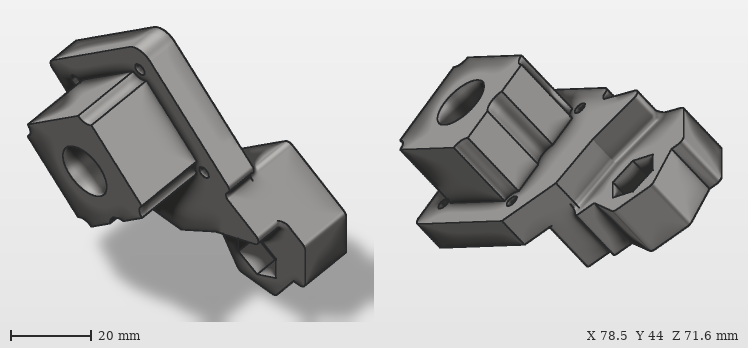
import cadquery as cq
import math

PLATE_THICKNESS = 8.95
BOSS_LENGTH = 20.0
BLOCK_THICKNESS = 15.0
BLOCK_BACK = PLATE_THICKNESS + BLOCK_THICKNESS
TOTAL_WIDTH = 78.5

PLATE_HALF_DIAGONAL = 31.3
PLATE_BOTTOM = -28.2
TOP_RADIUS = 5.0
CORNER_RADIUS = 2.0
JUNCTION_RADIUS = 1.7
BORE_DIAMETER = 15.0
SCREW_DIAMETER = 3.3
SCREW_DISTANCE = 21.9

BOSS_SIDE = 30.8
SCREW_GROOVE_RADIUS = 3.3
SIDE_GROOVE_RADIUS = 4.4
SIDE_GROOVE_OFFSET = 12.95

NUT_X = 31.65
NUT_Z = -31.6
ROD_DIAMETER = 7.4
NUT_ACROSS_FLATS = 12.8
NUT_DEPTH = 6.5
BLOCK_APOTHEM = 10.75
BLOCK_HALF_CORNER = BLOCK_APOTHEM / math.cos(math.radians(30))
BLOCK_BOTTOM = NUT_Z - BLOCK_APOTHEM
BLOCK_RIGHT = TOTAL_WIDTH - PLATE_HALF_DIAGONAL + CORNER_RADIUS * (math.sqrt(2) - 1)
WING_LEFT = 13.1
SMALL_RADIUS = 1.0

SLOPE_ANGLE = 32.3
SLOPE = math.tan(math.radians(SLOPE_ANGLE))
JUNCTION_X = 28.35
JUNCTION = (JUNCTION_X, JUNCTION_X - PLATE_HALF_DIAGONAL)

ARM_START = (14.2, PLATE_BOTTOM)
ARM_BEND = (26.0, -19.5)
ARM_TIP_X = 42.6
BLEND_RADIUS = 2.0
CUT_MARGIN = 15.7


def slope_z(x):
    """Height of the sloping upper edge at a given X."""
    return JUNCTION[1] - SLOPE * (x - JUNCTION[0])


ARM_TIP = (ARM_TIP_X, slope_z(ARM_TIP_X))


def unit(start, end):
    length = math.dist(start, end)
    return ((end[0] - start[0]) / length, (end[1] - start[1]) / length)


def corner_arc(before, corner, after, radius):
    """Start, middle and end of the arc that rounds a corner."""
    a = unit(corner, before)
    b = unit(corner, after)
    half_angle = math.acos(a[0] * b[0] + a[1] * b[1]) / 2
    tangent = radius / math.tan(half_angle)
    to_middle = radius / math.sin(half_angle) - radius
    bisector = unit((0, 0), (a[0] + b[0], a[1] + b[1]))
    return [
        (corner[0] + direction[0] * reach, corner[1] + direction[1] * reach)
        for direction, reach in ((a, tangent), (bisector, to_middle), (b, tangent))
    ]


def prism(sketch, y_start, y_end):
    """Extrude a closed XZ outline from y_start to y_end."""
    return sketch.extrude(y_start - y_end).translate((0, y_start, 0))


def rounded_prism(corners, y_start, y_end):
    """Prism over (point, radius) corners; radius 0 keeps a corner sharp."""
    sketch = cq.Workplane("XZ")
    points = [point for point, _ in corners]
    for i, (point, radius) in enumerate(corners):
        path = [point]
        if radius:
            path = corner_arc(points[i - 1], point, points[(i + 1) % len(points)], radius)
        sketch = sketch.moveTo(*path[0]) if i == 0 else sketch.lineTo(*path[0])
        if radius:
            sketch = sketch.threePointArc(*path[1:])
    return prism(sketch.close(), y_start, y_end)


def cylinder(x, z, diameter, y_start, y_end):
    return prism(cq.Workplane("XZ").center(x, z).circle(diameter / 2), y_start, y_end)


def make_plate():
    d = PLATE_HALF_DIAGONAL
    corners = [
        ((0, d), TOP_RADIUS),
        ((-d, 0), CORNER_RADIUS),
        ((-d - PLATE_BOTTOM, PLATE_BOTTOM), 0),
        (ARM_START, 0),
        (ARM_BEND, 0),
        (ARM_TIP, CORNER_RADIUS),
        (JUNCTION, JUNCTION_RADIUS),
        ((d, 0), CORNER_RADIUS),
    ]
    return rounded_prism(corners, 0, PLATE_THICKNESS)


def make_boss():
    boss = (
        cq.Workplane("XZ").rect(BOSS_SIDE, BOSS_SIDE).extrude(BOSS_LENGTH)
        .rotate((0, 0, 0), (0, 1, 0), 45)
    )
    for x, z in screw_places:
        boss = boss.cut(cylinder(x, z, 2 * SCREW_GROOVE_RADIUS, -BOSS_LENGTH, 0))
    return boss.cut(cylinder(
        SIDE_GROOVE_OFFSET, -SIDE_GROOVE_OFFSET, 2 * SIDE_GROOVE_RADIUS, -BOSS_LENGTH, 0
    ))


def make_block(y_start):
    """Clamp block: its upper left side continues the plate's diagonal."""
    corners = [
        (JUNCTION, CORNER_RADIUS),
        ((PLATE_HALF_DIAGONAL + PLATE_BOTTOM, PLATE_BOTTOM), SMALL_RADIUS),
        ((WING_LEFT, PLATE_BOTTOM), 0),
        ((WING_LEFT, NUT_Z), SMALL_RADIUS),
        ((NUT_X - BLOCK_HALF_CORNER, NUT_Z), 0),
        ((NUT_X - BLOCK_HALF_CORNER / 2, BLOCK_BOTTOM), CORNER_RADIUS),
        ((NUT_X + BLOCK_HALF_CORNER / 2, BLOCK_BOTTOM), CORNER_RADIUS),
        ((NUT_X + BLOCK_HALF_CORNER, NUT_Z), 0),
        ((BLOCK_RIGHT, NUT_Z), CORNER_RADIUS),
        ((BLOCK_RIGHT, slope_z(BLOCK_RIGHT)), CORNER_RADIUS),
    ]
    return rounded_prism(corners, y_start, BLOCK_BACK)


def make_step_cutter():
    """Space in front of the block below the arm, with its deep inner edges rounded."""
    tip_start, tip_middle, tip_end = corner_arc(ARM_BEND, ARM_TIP, JUNCTION, CORNER_RADIUS)
    angle = math.radians(SLOPE_ANGLE)
    outside = (
        tip_end[0] + CUT_MARGIN * math.sin(angle),
        tip_end[1] + CUT_MARGIN * math.cos(angle),
    )
    left = WING_LEFT - CUT_MARGIN
    right = BLOCK_RIGHT + CUT_MARGIN
    bottom = BLOCK_BOTTOM - CUT_MARGIN
    sketch = (
        cq.Workplane("XZ").moveTo(left, PLATE_BOTTOM)
        .lineTo(*ARM_START).lineTo(*ARM_BEND).lineTo(*tip_start)
        .threePointArc(tip_middle, tip_end)
        .lineTo(*outside).lineTo(right, outside[1])
        .lineTo(right, bottom).lineTo(left, bottom).close()
    )
    cutter = prism(sketch, -CUT_MARGIN, PLATE_THICKNESS)
    arm_zone = cq.selectors.BoxSelector(
        (left, PLATE_THICKNESS - 0.8, PLATE_BOTTOM - 0.8),
        (ARM_TIP_X, PLATE_THICKNESS + 0.8, tip_end[1]),
    )
    return cutter.edges(">Y").edges(arm_zone).fillet(BLEND_RADIUS)


screw_places = [
    (SCREW_DISTANCE, 0),
    (0, SCREW_DISTANCE),
    (-SCREW_DISTANCE, 0),
    (0, -SCREW_DISTANCE),
]

block = make_block(PLATE_THICKNESS - BLEND_RADIUS).cut(make_step_cutter())
result = make_plate().union(block).union(make_boss())

result = result.cut(cylinder(0, 0, BORE_DIAMETER, -BOSS_LENGTH, PLATE_THICKNESS))
for screw_x, screw_z in screw_places:
    result = result.cut(cylinder(screw_x, screw_z, SCREW_DIAMETER, 0, PLATE_THICKNESS))

result = result.cut(cylinder(NUT_X, NUT_Z, ROD_DIAMETER, PLATE_THICKNESS, BLOCK_BACK))
nut_sketch = (
    cq.Workplane("XZ").center(NUT_X, NUT_Z)
    .transformed(rotate=(0, 0, 90))
    .polygon(6, NUT_ACROSS_FLATS / math.cos(math.radians(30)))
)
result = result.cut(prism(nut_sketch, PLATE_THICKNESS, PLATE_THICKNESS + NUT_DEPTH))